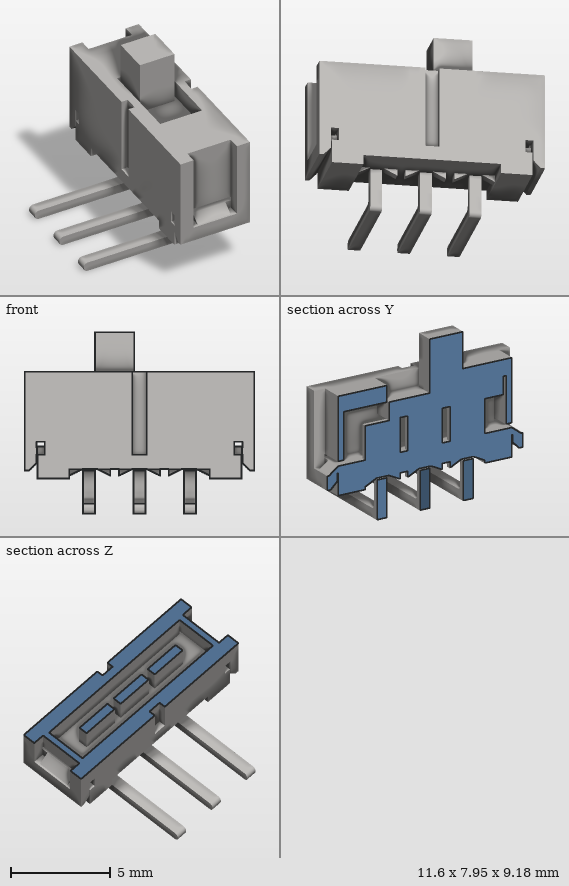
import cadquery as cq


LENGTH = 11.6
DEPTH = 4.0
BASE_BOTTOM = -4.92
FOOT_BOTTOM = -5.4
FOOT_INNER_X = 3.54
GROOVE_WIDTH = 0.72
GROOVE_DEPTH = 0.36
SILL_Z = -4.2

STRAP_THICKNESS = 0.6
STRAP_GAP = 0.05
STRAP_BOTTOM = -5.0
STRAP_CHAMFER = 0.38
RECESS_WIDTH = 2.49
RECESS_DEPTH = STRAP_THICKNESS + STRAP_GAP
SIDE_WINDOW_END = 1.01
SIDE_WINDOW_TOP = -3.55
BASE_TOP = -3.78
TONGUE_WIDTH = 3.0
WEDGE_START = 0.1
WEDGE_WIDTH = 1.89

SLOT_LENGTH = 4.5
SLOT_WIDTH = 2.41
ROOF_THICKNESS = 0.93
CAVITY_LENGTH = LENGTH - 2 * SIDE_WINDOW_END
CAVITY_WIDTH = 2.3
KNOB_SIDE = 2.0
KNOB_HEIGHT = 2.0
KNOB_X = (KNOB_SIDE - SLOT_LENGTH) / 2
SLIDER_LENGTH = 6.8
SLIDER_THICKNESS = 1.0

TERMINAL_POSITIONS = (-1, 0, 1)
PLATE_PITCH = 2.5
PLATE_WIDTH = 2.08
METAL_THICKNESS = 0.51
TOOTH_DROP = 0.34
NOTCH_WIDTH = 0.72

PIN_PITCH = 2.55
PIN_WIDTH = 0.61
PIN_TOP = -5.0
PIN_BOTTOM = -7.18
PIN_REACH = 7.95
PIN_FILLET = 0.22

END_X = LENGTH / 2
BASE_END_X = END_X - RECESS_DEPTH
SLIDER_BOTTOM = -ROOF_THICKNESS - SLIDER_THICKNESS


def block(x_min, x_max, width, z_min, z_max):
    """Box between two X and two Z positions, centred on Y = 0."""
    return cq.Workplane("XY").box(
        x_max - x_min, width, z_max - z_min, centered=(False, True, False)
    ).translate((x_min, 0, z_min))


def centred_block(x, length, width, z_min, z_max):
    """Box centred on a given X and on Y = 0."""
    return block(x - length / 2, x + length / 2, width, z_min, z_max)


def extruded_profile(points, width):
    """XZ outline extruded along Y, centred on Y = 0."""
    return cq.Workplane("XZ").polyline(points).close().extrude(width / 2, both=True)


def shell():
    """Housing block on two feet, with its roof slot, cavity and side grooves."""
    body = centred_block(0, LENGTH, DEPTH, SIDE_WINDOW_TOP, 0)
    body = body.union(centred_block(0, 2 * BASE_END_X, DEPTH, FOOT_BOTTOM, SIDE_WINDOW_TOP))
    body = body.cut(centred_block(0, 2 * FOOT_INNER_X, DEPTH, FOOT_BOTTOM, BASE_BOTTOM))
    body = body.cut(centred_block(0, SLOT_LENGTH, SLOT_WIDTH, -ROOF_THICKNESS, 0))
    body = body.cut(centred_block(0, CAVITY_LENGTH, CAVITY_WIDTH, BASE_TOP, -ROOF_THICKNESS))
    groove = centred_block(0, GROOVE_WIDTH, 2 * GROOVE_DEPTH, SILL_Z, 0)
    for side_y in (-DEPTH / 2, DEPTH / 2):
        body = body.cut(groove.translate((0, side_y, 0)))
    return body


def add_right_latch(body):
    """Strap with its window at the +X end, hooked over a wedge on the base."""
    strap_inner_x = END_X - STRAP_THICKNESS
    strap = extruded_profile(
        [
            (strap_inner_x, SIDE_WINDOW_TOP),
            (END_X, SIDE_WINDOW_TOP),
            (END_X, STRAP_BOTTOM),
            (strap_inner_x + STRAP_CHAMFER, STRAP_BOTTOM),
            (strap_inner_x, STRAP_BOTTOM + STRAP_CHAMFER),
        ],
        DEPTH,
    )
    recess = block(BASE_END_X, END_X, RECESS_WIDTH, SILL_Z, 0)
    side_window = block(END_X - SIDE_WINDOW_END, strap_inner_x, DEPTH, SILL_Z, SIDE_WINDOW_TOP)
    tongue = block(END_X - SIDE_WINDOW_END, BASE_END_X, TONGUE_WIDTH, SILL_Z, BASE_TOP)
    wedge = extruded_profile(
        [(BASE_END_X, SILL_Z), (END_X - WEDGE_START, SILL_Z), (BASE_END_X, BASE_TOP)],
        WEDGE_WIDTH,
    )
    return body.union(strap).cut(recess).cut(side_window).union(tongue).union(wedge)


def slider():
    """Square knob on a flat plate that covers the slot from below."""
    knob = centred_block(KNOB_X, KNOB_SIDE, KNOB_SIDE, -ROOF_THICKNESS, KNOB_HEIGHT)
    plate = centred_block(KNOB_X, SLIDER_LENGTH, CAVITY_WIDTH, SLIDER_BOTTOM, -ROOF_THICKNESS)
    return knob.union(plate)


def contact_plate(x):
    """Upright plate from the slider through the base, with two sloped teeth below the base."""
    half_width = PLATE_WIDTH / 2
    tooth_bottom = BASE_BOTTOM - TOOTH_DROP
    return extruded_profile(
        [
            (x - half_width, SLIDER_BOTTOM),
            (x + half_width, SLIDER_BOTTOM),
            (x + half_width, tooth_bottom),
            (x + NOTCH_WIDTH / 2, BASE_BOTTOM),
            (x - NOTCH_WIDTH / 2, BASE_BOTTOM),
            (x - half_width, tooth_bottom),
        ],
        METAL_THICKNESS,
    )


def switch_body():
    """Housing, latches, slider and contact plates, which form one solid."""
    body = add_right_latch(shell())
    body = add_right_latch(body.mirror("YZ")).mirror("YZ")
    body = body.union(slider())
    for position in TERMINAL_POSITIONS:
        body = body.union(contact_plate(position * PLATE_PITCH))
    return body


def pin(x):
    """Right-angle pin pointing to -Y, with rounded bend and tip."""
    half_thickness = METAL_THICKNESS / 2
    tip_y = DEPTH / 2 - PIN_REACH
    leg_top = PIN_BOTTOM + METAL_THICKNESS
    outline = [
        (half_thickness, PIN_TOP),
        (half_thickness, PIN_BOTTOM),
        (tip_y, PIN_BOTTOM),
        (tip_y, leg_top),
        (-half_thickness, leg_top),
        (-half_thickness, PIN_TOP),
    ]
    bar = cq.Workplane("YZ").polyline(outline).close().extrude(PIN_WIDTH / 2, both=True)
    bar = bar.edges("|X").edges("not >Z").fillet(PIN_FILLET)
    return bar.translate((x, 0, 0))


switch = switch_body()
pins = [pin(position * PIN_PITCH) for position in TERMINAL_POSITIONS]

result = cq.Compound.makeCompound([switch.val(), *[item.val() for item in pins]])